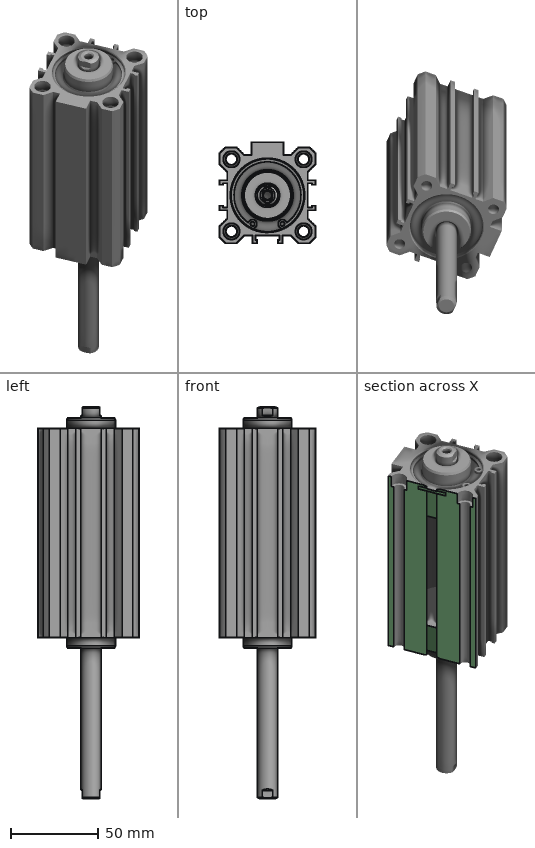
import cadquery as cq
import math

rod_length = 224.5
rod_overhang = 6.3
collar_height = 6.0
housing_length = 119.9
housing_top = rod_length - rod_overhang - collar_height
housing_bottom = housing_top - housing_length

housing_width = 55.0
housing_depth = 58.0
half_width = housing_width / 2
wall_face = 23.1
ear_inner_end = 17.7
ear_outer_end = 24.0
wall_corner = ear_inner_end - (half_width - wall_face)
corner_radius = math.hypot(half_width, ear_outer_end)
block_width = 18.5

rail_span = 17.3
rail_hook_width = 2.7
rail_stem_width = 1.8
rail_hook_height = 2.0

bolt_spacing = 41.3
bolt_diameter = 6.3
bolt_head_diameter = 9.5
bolt_head_depth = 6.7

bore_diameter = 41.8
bore_chamfer = 0.5
cover_recess = 3.5
cover_flange_length = 18.0
collar_diameter = 28.0
collar_chamfer_height = 1.3
collar_chamfer_width = 0.7
collar_flare = 0.7
rod_mouth_diameter = 14.0
ring_thickness = 1.5
ring_outer_diameter = 44.7
ring_inner_diameter = 38.5
eyelet_diameter = 5.0
eyelet_hole_diameter = 2.5
eyelet_x = 8.5
eyelet_y = -16.5
opening_half_angle = 22
flange_face = housing_top - cover_recess
collar_top = housing_top + collar_height
ring_bottom = flange_face

rod_diameter = 12.0
rod_across_flats = 10.0
flat_length = 4.7
rod_end_diameter = 8.5
rod_chamfer_height = 1.0
rod_chamfer_width = (rod_diameter - rod_end_diameter) / 2
tapped_hole_diameter = 5.0
tapped_hole_depth = 11.2
hole_mouth_diameter = 6.3
drill_tip_depth = 0.5


def cylinder(diameter, bottom, height):
    return cq.Workplane("XY").workplane(offset=bottom).circle(diameter / 2).extrude(height)


def cone_band(bottom_diameter, top_diameter, bottom, height):
    return cq.Workplane(cq.Solid.makeCone(
        bottom_diameter / 2, top_diameter / 2, height, pnt=cq.Vector(0, 0, bottom)))


def housing_outline():
    """Cross-section with four ears, whose outer corners follow one circle about the axis."""
    corner = corner_radius / math.sqrt(2)
    outline = cq.Workplane("XY").workplane(offset=housing_bottom).moveTo(-ear_outer_end, -half_width)
    for side in range(4):
        angle = math.radians(90 * side)

        def turned(x, y):
            return (x * math.cos(angle) - y * math.sin(angle), x * math.sin(angle) + y * math.cos(angle))

        outline = (
            outline
            .lineTo(*turned(-ear_inner_end, -half_width))
            .lineTo(*turned(-wall_corner, -wall_face))
            .lineTo(*turned(wall_corner, -wall_face))
            .lineTo(*turned(ear_inner_end, -half_width))
            .lineTo(*turned(ear_outer_end, -half_width))
            .threePointArc(turned(corner, -corner), turned(half_width, -ear_outer_end))
        )
    return outline.close()


def slot_rails():
    """Pair of rails on the -Y wall, their hooks pointing at each other."""
    rail_outer = rail_span / 2
    rail_stem_inner = rail_outer - rail_stem_width
    rail_hook_inner = rail_outer - rail_hook_width
    hook_level = rail_hook_height - half_width
    rail = (
        cq.Workplane("XY").workplane(offset=housing_bottom)
        .moveTo(-rail_outer, -wall_face)
        .lineTo(-rail_outer, -half_width)
        .lineTo(-rail_hook_inner, -half_width)
        .lineTo(-rail_hook_inner, hook_level)
        .lineTo(-rail_stem_inner, hook_level)
        .lineTo(-rail_stem_inner, -wall_face)
        .close()
        .extrude(housing_length)
    )
    return rail.union(rail.mirror("YZ"))


def make_housing():
    housing = housing_outline().extrude(housing_length)

    block_depth = housing_depth - half_width - wall_face
    port_block = (
        cq.Workplane("XY").workplane(offset=housing_bottom)
        .center(0, wall_face + block_depth / 2)
        .rect(block_width, block_depth)
        .extrude(housing_length)
    )
    housing = housing.union(port_block)

    for angle in (-90, 0, 90):
        housing = housing.union(slot_rails().rotate((0, 0, 0), (0, 0, 1), angle))

    rim_diameter = bore_diameter + 2 * bore_chamfer
    bore = (
        cylinder(bore_diameter, housing_bottom, housing_length)
        .union(cone_band(bore_diameter, rim_diameter, housing_top - bore_chamfer, bore_chamfer))
        .union(cone_band(rim_diameter, bore_diameter, housing_bottom, bore_chamfer))
    )
    housing = housing.cut(bore)
    housing = housing.cut(cylinder(ring_outer_diameter, ring_bottom, ring_thickness))
    return (
        housing.faces(">Z").workplane(origin=(0, 0, housing_top))
        .rect(bolt_spacing, bolt_spacing, forConstruction=True)
        .vertices()
        .cboreHole(bolt_diameter, bolt_head_diameter, bolt_head_depth)
    )


def make_upper_cover():
    """Flanged cover with a chamfered collar and a countersunk rod hole."""
    flange = cylinder(bore_diameter, flange_face - cover_flange_length, cover_flange_length)
    collar = (
        cylinder(collar_diameter, flange_face, collar_top - flange_face)
        .faces(">Z").chamfer(collar_chamfer_height, collar_chamfer_width)
    )
    root_diameter = collar_diameter + 2 * collar_flare
    flare = cone_band(root_diameter, collar_diameter, flange_face, collar_flare)
    rod_hole = cylinder(rod_diameter, housing_bottom, rod_length)
    mouth_depth = (rod_mouth_diameter - rod_diameter) / 2
    rod_mouth = cone_band(rod_diameter, rod_mouth_diameter, collar_top - mouth_depth, mouth_depth)
    return flange.union(collar).union(flare).cut(rod_hole).cut(rod_mouth)


def make_lower_cover():
    housing_middle = (housing_top + housing_bottom) / 2
    return make_upper_cover().mirror("XY", (0, 0, housing_middle))


def make_retaining_ring():
    """Open ring in the housing groove, ending in two eyelets."""
    ring = cylinder(ring_outer_diameter, ring_bottom, ring_thickness)
    ring = ring.cut(cylinder(ring_inner_diameter, ring_bottom, ring_thickness))
    opening_depth = ring_outer_diameter
    opening_half_width = opening_depth * math.tan(math.radians(opening_half_angle))
    opening = (
        cq.Workplane("XY").workplane(offset=ring_bottom)
        .polyline([
            (0, 0),
            (-opening_half_width, -opening_depth),
            (opening_half_width, -opening_depth),
        ])
        .close()
        .extrude(ring_thickness)
    )
    ring = ring.cut(opening)
    eyelet_centres = (-eyelet_x, eyelet_x)
    for x in eyelet_centres:
        eyelet = cylinder(eyelet_diameter, ring_bottom, ring_thickness).translate((x, eyelet_y, 0))
        ring = ring.union(eyelet)
    for x in eyelet_centres:
        pin_hole = cylinder(eyelet_hole_diameter, ring_bottom, ring_thickness).translate((x, eyelet_y, 0))
        ring = ring.cut(pin_hole)
    return ring


def wrench_flats(end_level, inward):
    """Cutters for two opposite flats at a rod end, each running out at 45 degrees."""
    flat = rod_across_flats / 2
    clear = rod_diameter
    runout_end = end_level + inward * (flat_length + clear - flat)
    cutter = (
        cq.Workplane("YZ")
        .polyline([
            (flat, end_level),
            (flat, end_level + inward * flat_length),
            (clear, runout_end),
            (clear, end_level),
        ])
        .close()
        .extrude(rod_diameter, both=True)
    )
    return cutter.union(cutter.mirror("XZ"))


def make_rod():
    rod = (
        cylinder(rod_diameter, 0, rod_length)
        .faces("<Z or >Z").chamfer(rod_chamfer_height, rod_chamfer_width)
    )
    rod = rod.cut(wrench_flats(rod_length, -1))
    rod = rod.cut(wrench_flats(0, 1))

    hole_radius = tapped_hole_diameter / 2
    countersink_depth = (hole_mouth_diameter - tapped_hole_diameter) / 2
    tapped_hole = (
        cq.Workplane("XZ")
        .polyline([
            (0, rod_length),
            (hole_mouth_diameter / 2, rod_length),
            (hole_radius, rod_length - countersink_depth),
            (hole_radius, rod_length - tapped_hole_depth),
            (0, rod_length - tapped_hole_depth - drill_tip_depth),
        ])
        .close()
        .revolve(360, (0, 0, 0), (0, 1, 0))
    )
    return rod.cut(tapped_hole)


housing = make_housing()
upper_cover = make_upper_cover()
lower_cover = make_lower_cover()
retaining_ring = make_retaining_ring()
rod = make_rod()

result = cq.Compound.makeCompound([
    housing.val(),
    upper_cover.val(),
    lower_cover.val(),
    retaining_ring.val(),
    rod.val(),
])